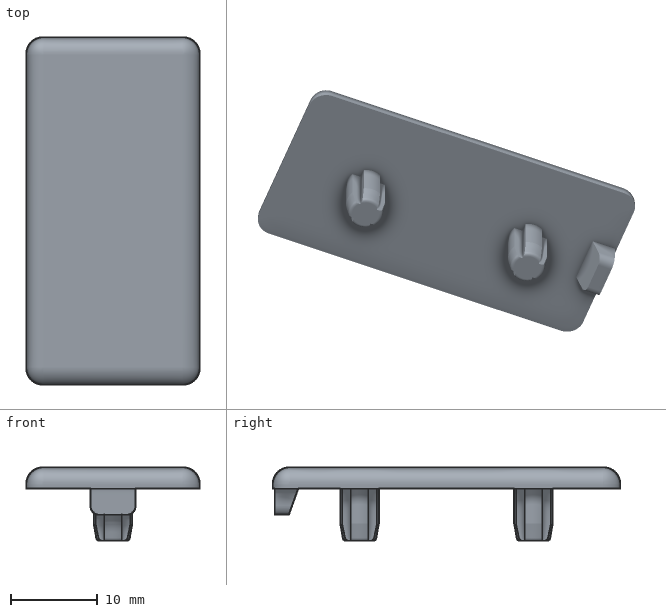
import cadquery as cq
import math

plate_width = 20.0
plate_length = 40.0
plate_height = 2.5
edge_radius = 2.0

pin_radius = 2.25
pin_length = 6.0
pin_straight_length = 4.0
pin_taper_angle = 10.0
pin_tip_radius = 0.4
pin_arm_width = 2.0
pin_spacing = 20.0

tab_width = 5.2
tab_height = 3.0
tab_root_thickness = 2.7
tab_tip_thickness = 1.65
tab_corner_radius = 1.0
tab_setback = 0.25


def make_plate():
    """Plate with rounded corners and a rounded upper rim."""
    block = cq.Workplane("XY").box(plate_width, plate_length, plate_height, centered=(True, True, False))
    return block.edges("|Z").fillet(edge_radius).faces(">Z").edges().fillet(edge_radius)


def make_pin(center_y):
    """Tapered round pin cut down to a cross of two equal arms."""
    taper_length = pin_length - pin_straight_length
    tip_radius = pin_radius - taper_length * math.tan(math.radians(pin_taper_angle))
    envelope = (
        cq.Workplane("XZ")
        .moveTo(0, 0)
        .lineTo(pin_radius, 0)
        .lineTo(pin_radius, -pin_straight_length)
        .lineTo(tip_radius, -pin_length)
        .lineTo(0, -pin_length)
        .close()
        .revolve(360, (0, 0, 0), (0, 1, 0))
        .faces("<Z")
        .edges()
        .fillet(pin_tip_radius)
    )
    cross = (
        cq.Workplane("XY")
        .rect(2 * pin_radius, pin_arm_width)
        .extrude(-pin_length)
        .union(cq.Workplane("XY").rect(pin_arm_width, 2 * pin_radius).extrude(-pin_length))
    )
    return envelope.intersect(cross).translate((0, center_y, 0))


def make_tab():
    """Tab with an upright outer face, a sloping inner face and rounded lower corners."""
    outer_y = -plate_length / 2 + tab_setback
    profile = [
        (outer_y, 0),
        (outer_y + tab_root_thickness, 0),
        (outer_y + tab_tip_thickness, -tab_height),
        (outer_y, -tab_height),
    ]
    wedge = cq.Workplane("YZ").polyline(profile).close().extrude(tab_width / 2, both=True)
    front_outline = (
        cq.Workplane("XZ", origin=(0, outer_y, 0))
        .rect(tab_width, 2 * tab_height)
        .extrude(-tab_root_thickness)
        .edges("|Y")
        .fillet(tab_corner_radius)
    )
    return wedge.intersect(front_outline)


result = make_plate().union(make_tab())
for side in (-1, 1):
    result = result.union(make_pin(side * pin_spacing / 2))